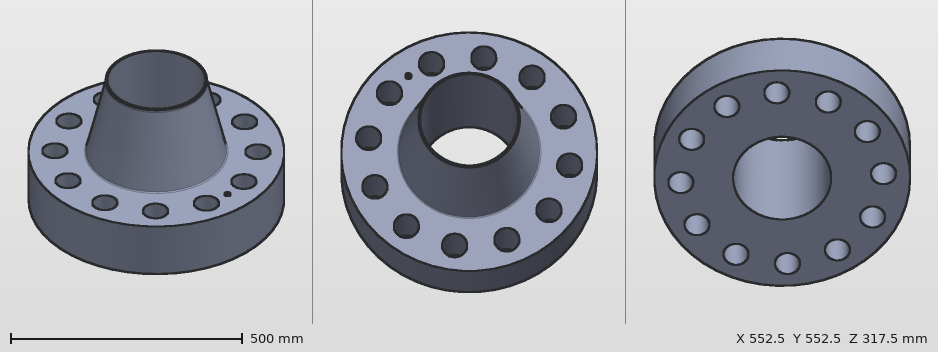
import cadquery as cq
import math

FLANGE_DIAMETER = 552.45
FLANGE_THICKNESS = 127.0

BOLT_COUNT = 12
BOLT_HOLE_DIAMETER = 54.0
BOLT_CIRCLE_DIAMETER = 438.15

TOTAL_HEIGHT = 317.5
HUB_BASE_DIAMETER = 304.8
HUB_FILLET_RADIUS = 3.0
PIPE_DIAMETER = 219.1
BORE_DIAMETER = 211.6
WELD_END_LENGTH = 8.0
WELD_BEVEL_HEIGHT = 1.5
WELD_BEVEL_ANGLE = 37.5

HOLE_STEPS = [(12.7, 2.0), (10.0, 4.0), (4.0, 6.0)]
STEPPED_HOLE_ANGLE = 180.0 / BOLT_COUNT


def on_bolt_circle(angle):
    """Return the X, Y position on the bolt circle at an angle in degrees."""
    radius = BOLT_CIRCLE_DIAMETER / 2
    angle_rad = math.radians(angle)
    return radius * math.cos(angle_rad), radius * math.sin(angle_rad)


def make_flange():
    return cq.Workplane("XY").circle(FLANGE_DIAMETER / 2).extrude(FLANGE_THICKNESS)


def make_hub():
    """Revolve the tapered hub with its bevelled weld end."""
    base_radius = HUB_BASE_DIAMETER / 2
    pipe_radius = PIPE_DIAMETER / 2
    weld_end_base = TOTAL_HEIGHT - WELD_END_LENGTH
    bevel_base = TOTAL_HEIGHT - WELD_BEVEL_HEIGHT
    bevel_width = WELD_BEVEL_HEIGHT * math.tan(math.radians(WELD_BEVEL_ANGLE))
    return (
        cq.Workplane("XZ")
        .moveTo(0, FLANGE_THICKNESS)
        .lineTo(base_radius, FLANGE_THICKNESS)
        .lineTo(pipe_radius, weld_end_base)
        .lineTo(pipe_radius, bevel_base)
        .lineTo(pipe_radius - bevel_width, TOTAL_HEIGHT)
        .lineTo(0, TOTAL_HEIGHT)
        .close()
        .revolve(360, (0, 0, 0), (0, 1, 0))
    )


def fillet_hub_base(body):
    """Round the corner where the hub meets the flange face."""
    rim_point = (FLANGE_DIAMETER / 2, 0, FLANGE_THICKNESS)
    flange_face = body.faces(cq.selectors.NearestToPointSelector(rim_point))
    hub_edge = flange_face.edges(cq.selectors.RadiusNthSelector(0))
    return hub_edge.fillet(HUB_FILLET_RADIUS)


def cut_bore(body):
    bore = cq.Workplane("XY").circle(BORE_DIAMETER / 2).extrude(TOTAL_HEIGHT)
    return body.cut(bore)


def cut_bolt_holes(body):
    positions = [on_bolt_circle(i * 360 / BOLT_COUNT) for i in range(BOLT_COUNT)]
    holes = (
        cq.Workplane("XY")
        .pushPoints(positions)
        .circle(BOLT_HOLE_DIAMETER / 2)
        .extrude(FLANGE_THICKNESS)
    )
    return body.cut(holes)


def cut_stepped_hole(body):
    flange_top = cq.Workplane("XY", origin=(0, 0, FLANGE_THICKNESS))
    hole_center = flange_top.center(*on_bolt_circle(STEPPED_HOLE_ANGLE))
    for diameter, depth in HOLE_STEPS:
        body = body.cut(hole_center.circle(diameter / 2).extrude(-depth))
    return body


body = fillet_hub_base(make_flange().union(make_hub()))
body = cut_bore(body)
body = cut_bolt_holes(body)
result = cut_stepped_hole(body)